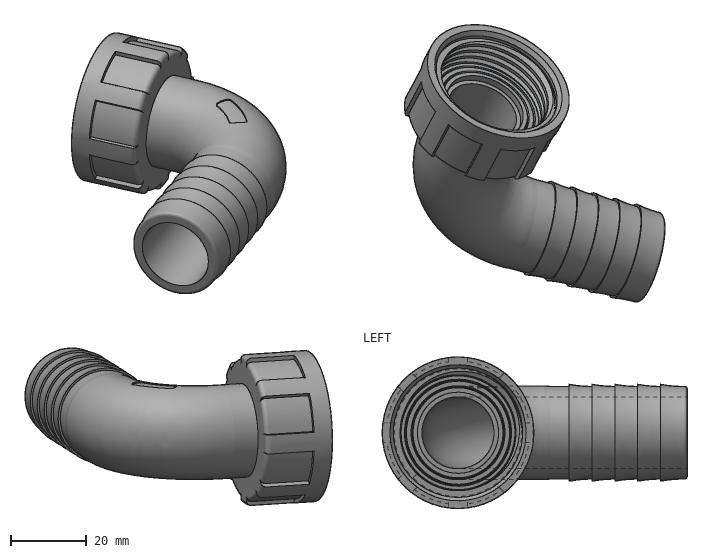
import cadquery as cq
import math

overall_length = 80.5
nut_radius = 40.0 / 2
nut_length = 18.2

plain_collar_length = 5.1
panel_floor_radius = 18.9
rib_count = 8
rib_width = 5.1
nut_edge_radius = 1.2

mouth_radius = 17.95
mouth_depth = 1.2
throat_radius = 17.1
throat_depth = 2.2
thread_crest_radius = 15.3
thread_root_radius = 16.8
thread_pitch = 2.3
thread_groove_width = 1.45
thread_turns = 4
thread_start_angle = 45.0
nut_lip_thickness = 3.2

gasket_radius = 30.0 / 2
gasket_hole_radius = 21.4 / 2
gasket_face = 9.8
gasket_thickness = 1.85
gasket_grooves = [(27.2 / 2, 28.25 / 2), (23.75 / 2, 24.8 / 2)]
gasket_groove_depth = 0.3

pipe_radius = 24.8 / 2
bore_radius = 19.0 / 2
bend_radius = 22.9
bend_start = 24.55
tail_axis = bend_start + bend_radius
tail_end = overall_length - nut_radius

tail_root_radius = 24.5 / 2
tail_taper_length = 1.5
barb_radius = 12.8
barb_count = 5
barb_pitch = 6.0
first_barb = 29.3
tail_plain_end = 1.2
tail_edge_radius = 0.8

badge_width = 4.7
badge_span = math.radians(30)
badge_middle = math.radians(45)
badge_corner_radius = 1.05
badge_depth = 0.3

gasket_back = gasket_face + gasket_thickness
nut_lip_face = nut_length - nut_lip_thickness


def ring(inner, outer, start, end):
    """Plain ring around the X axis from X = start to X = end."""
    return (
        cq.Workplane("YZ", origin=(start, 0, 0))
        .circle(outer)
        .circle(inner)
        .extrude(end - start)
    )


def rod(radius, start, end):
    """Plain cylinder around the X axis from X = start to X = end."""
    return cq.Workplane("YZ", origin=(start, 0, 0)).circle(radius).extrude(end - start)


def rounded_rod(radius):
    """Cylinder as long as the nut, rounded at its rear edge."""
    return rod(radius, 0, nut_length).faces(">X").edges().fillet(nut_edge_radius)


def nut_outside():
    """Plain collar, sunken grip panels and the ribs left between them."""
    body = rounded_rod(panel_floor_radius)
    body = body.union(rod(nut_radius, 0, plain_collar_length))
    envelope = rounded_rod(nut_radius)
    for i in range(rib_count):
        bar = cq.Workplane("XY").box(nut_length, rib_width, nut_radius, centered=(False, True, False))
        rib = bar.rotate((0, 0, 0), (1, 0, 0), i * 360 / rib_count)
        body = body.union(rib.intersect(envelope))
    return body


def nut_cavity():
    """Tapered mouth, throat, bore at the thread crests and the lip around the pipe."""
    profile = [
        (0, 0),
        (0, mouth_radius),
        (mouth_depth, throat_radius),
        (throat_depth, throat_radius),
        (throat_depth, thread_crest_radius),
        (nut_lip_face, thread_crest_radius),
        (nut_lip_face, pipe_radius),
        (nut_length, pipe_radius),
        (nut_length, 0),
    ]
    return cq.Workplane("XY").polyline(profile).close().revolve(360, (0, 0, 0), (1, 0, 0))


def thread_groove():
    """Right-hand V groove that runs in from the throat, half a turn ahead of its face."""
    overrun = 1.2
    foot_radius = thread_root_radius - (thread_root_radius - thread_crest_radius) * overrun
    half_foot = thread_groove_width / 2 * overrun
    helix = cq.Wire.makeHelix(thread_pitch, thread_turns * thread_pitch, thread_crest_radius)
    groove = (
        cq.Workplane("XZ")
        .polyline([(foot_radius, -half_foot), (thread_root_radius, 0), (foot_radius, half_foot)])
        .close()
        .sweep(cq.Workplane(helix), isFrenet=True)
    )
    return (
        groove.rotate((0, 0, 0), (0, 1, 0), 90)
        .rotate((0, 0, 0), (1, 0, 0), thread_start_angle)
        .translate((throat_depth - thread_pitch / 2, 0, 0))
    )


def make_nut():
    return nut_outside().cut(nut_cavity()).cut(thread_groove())


def make_gasket():
    """Flat sealing ring with two shallow V grooves in its front face."""
    gasket = ring(gasket_hole_radius, gasket_radius, gasket_face, gasket_back)
    for inner, outer in gasket_grooves:
        groove = [
            (gasket_face, inner),
            (gasket_face + gasket_groove_depth, (inner + outer) / 2),
            (gasket_face, outer),
        ]
        gasket = gasket.cut(
            cq.Workplane("XY").polyline(groove).close().revolve(360, (0, 0, 0), (1, 0, 0))
        )
    return gasket


def bend(radius):
    """Quarter turn of a round bar from the nut axis to the tail axis."""
    return (
        cq.Workplane("YZ", origin=(bend_start, 0, 0))
        .circle(radius)
        .revolve(90, (-bend_radius, 0.8, 0), (-bend_radius, 0, 0))
    )


def hose_tail():
    """Barbed tail, revolved around the tail axis."""
    outline = (
        cq.Workplane("XY", origin=(tail_axis, 0, 0))
        .moveTo(0, -bend_radius)
        .lineTo(pipe_radius, -bend_radius)
        .lineTo(tail_root_radius, -bend_radius - tail_taper_length)
        .lineTo(tail_root_radius, -first_barb)
    )
    mid_barb_radius = tail_root_radius + (barb_radius - tail_root_radius) / 4
    for i in range(barb_count):
        start = first_barb + i * barb_pitch
        end = min(start + barb_pitch, tail_end - tail_plain_end)
        outline = outline.lineTo(barb_radius, -start).threePointArc(
            (mid_barb_radius, -(start + end) / 2), (tail_root_radius, -end)
        )
    return (
        outline.lineTo(tail_root_radius, tail_edge_radius - tail_end)
        .radiusArc((tail_root_radius - tail_edge_radius, -tail_end), tail_edge_radius)
        .lineTo(0, -tail_end)
        .close()
        .revolve(360, (0, 0, 0), (0, 1, 0))
    )


def badge_recess():
    """Shallow curved recess that follows the bend, on its top side."""
    inner = bend_radius - badge_width / 2
    outer = bend_radius + badge_width / 2
    first = badge_middle - badge_span / 2
    last = badge_middle + badge_span / 2

    def point(radius, angle):
        return (radius * math.cos(angle), radius * math.sin(angle))

    patch = (
        cq.Workplane("XY", origin=(bend_start, -bend_radius, 0))
        .moveTo(*point(inner, first))
        .lineTo(*point(outer, first))
        .threePointArc(point(outer, badge_middle), point(outer, last))
        .lineTo(*point(inner, last))
        .threePointArc(point(inner, badge_middle), point(inner, first))
        .close()
        .extrude(2 * pipe_radius)
        .edges("|Z")
        .fillet(badge_corner_radius)
    )
    return patch.cut(bend(pipe_radius - badge_depth))


def make_elbow():
    """Flanged pipe, quarter bend and barbed hose tail with one bore through all."""
    flange = rod(gasket_radius, gasket_back, nut_lip_face)
    pipe = rod(pipe_radius, gasket_back, bend_start)
    elbow = flange.union(pipe).union(bend(pipe_radius)).union(hose_tail())
    elbow = elbow.cut(badge_recess())
    tail_bore = (
        cq.Workplane("XZ", origin=(tail_axis, -bend_radius, 0))
        .circle(bore_radius)
        .extrude(tail_end - bend_radius)
    )
    bore = rod(bore_radius, gasket_back, bend_start).union(bend(bore_radius)).union(tail_bore)
    return elbow.cut(bore)


nut = make_nut()
gasket = make_gasket()
elbow = make_elbow()

result = cq.Compound.makeCompound([nut.solids().val(), gasket.solids().val(), elbow.solids().val()])